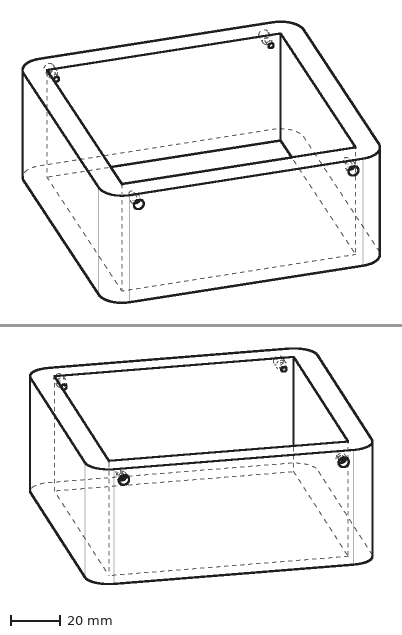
import cadquery as cq

outer_side = 120.0
height = 50.0
wall = 10.0
corner_radius = wall
opening_side = outer_side - 2 * wall

hole_diameter = 2.2
counterbore_diameter = 4.2
counterbore_depth = wall / 2
hole_from_top = 5.0
hole_spacing = 91.9


def make_frame():
    """Square tube with rounded outer corners and sharp inner corners."""
    block = cq.Workplane("XY").rect(outer_side, outer_side).extrude(height)
    block = block.edges("|Z").fillet(corner_radius)
    opening = cq.Workplane("XY").rect(opening_side, opening_side).extrude(height)
    return block.cut(opening)


def make_screw_holes():
    """Holes drilled through both X walls, counterbored from the -X and +X faces."""
    drill_plane = cq.Workplane("YZ", origin=(-outer_side / 2, 0, height - hole_from_top))
    centers = drill_plane.pushPoints([(-hole_spacing / 2, 0), (hole_spacing / 2, 0)])
    holes = centers.circle(hole_diameter / 2).extrude(outer_side)
    counterbores = centers.circle(counterbore_diameter / 2).extrude(counterbore_depth)
    return holes.union(counterbores).union(counterbores.mirror("YZ"))


result = make_frame().cut(make_screw_holes())